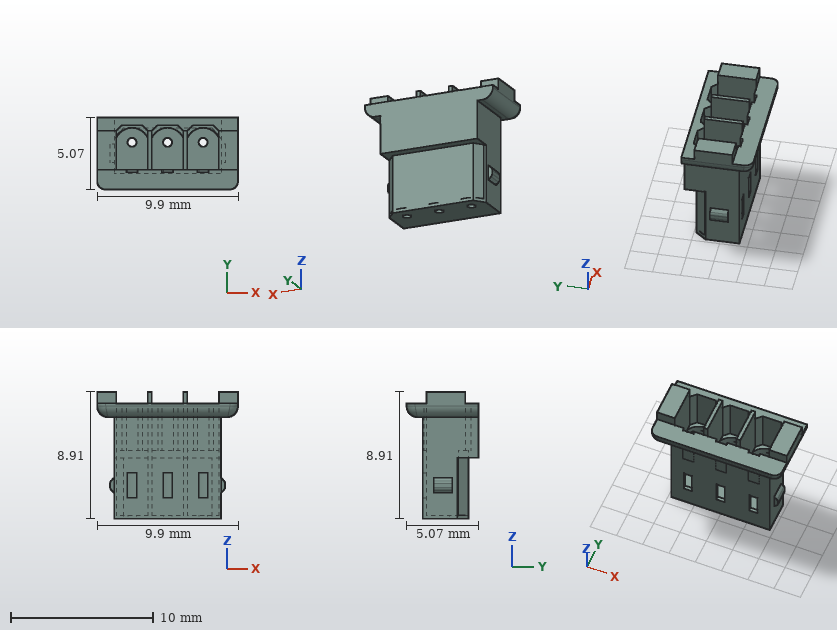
import cadquery as cq
import math


total_height = 8.91
flange_top = 8.11
flange_bottom = 7.13
step_height = 4.29

flange_width = 9.9
flange_overhang = 1.14
flange_corner_radius = 0.59
flange_edge_radius = 0.8

body_width = 7.5
body_depth = 3.93
lower_depth = 3.22
lower_chamfer_x = 0.65
lower_chamfer_y = 0.79

cell_count = 3
cell_pitch = 2.49
cell_width = 2.2
wall = 0.27
cell_back = 3.39
cell_corner = 0.4
ledge_height = step_height + body_depth - cell_back
arc_radius = 1.23
arc_center_y = 1.96
pin_hole_diameter = 0.61
pin_hole_y = 2.18

key_width = 0.81
key_depth = 0.19

window_width = 0.63
window_bottom = 1.485
window_top = 3.23

latch_reach = 0.29
latch_bottom = 1.82
latch_top = 2.9
latch_front = 0.79
latch_back = 2.07
latch_radius = 0.29

cell_span = (cell_count - 1) * cell_pitch + cell_width
block_back = cell_back - cell_corner
cell_centers = [(i - (cell_count - 1) / 2) * cell_pitch for i in range(cell_count)]


def box(x_min, x_max, y_min, y_max, z_min, z_max):
    size = (x_max - x_min, y_max - y_min, z_max - z_min)
    return cq.Workplane("XY").box(*size, centered=False).translate((x_min, y_min, z_min))


def make_body():
    half = body_width / 2
    upper = box(-half, half, 0, body_depth, step_height, flange_top)
    chamfer_start = lower_depth - lower_chamfer_y
    lower = (
        cq.Workplane("XY")
        .polyline([
            (-half, 0),
            (half, 0),
            (half, chamfer_start),
            (half - lower_chamfer_x, lower_depth),
            (lower_chamfer_x - half, lower_depth),
            (-half, chamfer_start),
        ])
        .close()
        .extrude(step_height)
    )
    return upper.union(lower)


def make_flange():
    half = flange_width / 2
    plate = box(-half, half, -flange_overhang, body_depth, flange_bottom, flange_top)
    plate = plate.edges("|Z and <Y").fillet(flange_corner_radius)
    rounded_edges = plate.faces("<Z").edges("not >Y")
    return rounded_edges.fillet(flange_edge_radius)


def make_end_block(side):
    inner = side * cell_span / 2
    outer = side * flange_width / 2
    return box(min(inner, outer), max(inner, outer), wall, block_back, flange_top, total_height)


def make_divider(x):
    half = (cell_pitch - cell_width) / 2
    return box(x - half, x + half, wall, block_back, flange_top, total_height)


def make_latch(side):
    root = side * body_width / 2
    tip = root + side * latch_reach
    latch = (
        cq.Workplane("XZ", origin=(0, latch_front, 0))
        .polyline([
            (root, latch_bottom),
            (tip, latch_bottom + latch_reach),
            (tip, latch_top - latch_reach),
            (root, latch_top),
        ])
        .close()
        .extrude(latch_front - latch_back)
    )
    tip_face = ">X" if side > 0 else "<X"
    return latch.faces(tip_face).edges("|Y").fillet(latch_radius)


def make_cell_cut(x):
    half = cell_width / 2
    upper = (
        box(x - half, x + half, wall, cell_back, ledge_height, total_height)
        .edges("|Z and >Y")
        .chamfer(cell_corner)
    )
    arc_start = arc_center_y + math.sqrt(arc_radius**2 - half**2)
    lower = (
        cq.Workplane("XY", origin=(x, 0, wall))
        .moveTo(-half, wall)
        .lineTo(half, wall)
        .lineTo(half, arc_start)
        .threePointArc((0, arc_center_y + arc_radius), (-half, arc_start))
        .close()
        .extrude(ledge_height - wall)
    )
    pin_hole = cq.Workplane("XY").center(x, pin_hole_y).circle(pin_hole_diameter / 2).extrude(wall)
    key_half = key_width / 2
    key = box(x - key_half, x + key_half, wall - key_depth, wall, ledge_height, flange_top)
    window_half = window_width / 2
    window = box(x - window_half, x + window_half, 0, wall, window_bottom, window_top)
    return upper.union(lower).union(pin_hole).union(key).union(window)


result = make_body().union(make_flange())
for side in (-1, 1):
    result = result.union(make_end_block(side)).union(make_latch(side))
for left, right in zip(cell_centers, cell_centers[1:]):
    result = result.union(make_divider((left + right) / 2))
for center in cell_centers:
    result = result.cut(make_cell_cut(center))